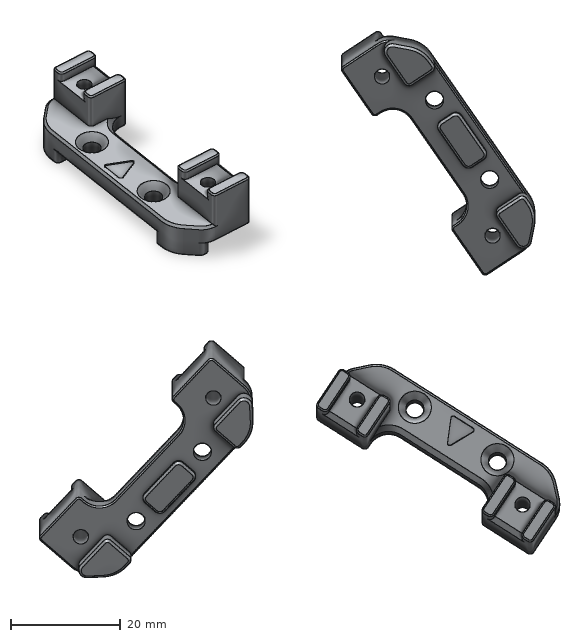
import cadquery as cq

LENGTH = 47.2
DEPTH = 15.0
HEIGHT = 14.0
HALF_LENGTH = LENGTH / 2

PLATE_BOTTOM = 3.1
PLATE_TOP = 7.0
PLATE_MIDDLE = (PLATE_BOTTOM + PLATE_TOP) / 2
BRIDGE_DEPTH = 9.55
CORNER_CUT = 5.0
CORNER_SIDE_RADIUS = 4.0
CORNER_FRONT_RADIUS = 6.0
BRIDGE_CORNER_RADIUS = 4.0
FRONT_CHAMFER = 0.45
BACK_CHAMFER = 1.0
BOTTOM_CHAMFER = 0.3

TOWER_WIDTH = 11.1
TOWER_DEPTH = 8.6
TOWER_X = HALF_LENGTH - TOWER_WIDTH / 2
TOWER_Y = DEPTH - TOWER_DEPTH / 2
TOWER_INNER_X = HALF_LENGTH - TOWER_WIDTH
TOWER_CORNER_RADIUS = 0.75
RAIL_WIDTH = 2.45
RAIL_OFFSET = (TOWER_WIDTH - RAIL_WIDTH) / 2
RAIL_HEIGHT = 2.0
RAIL_CORNER_RADIUS = 0.9
RAIL_TOP_CHAMFER = 0.3
FLOOR_Z = HEIGHT - RAIL_HEIGHT
TOWER_HOLE_DIAMETER = 2.8
TOWER_HOLE_Y = 9.45

FOOT_INNER_X = 14.2
FOOT_DEPTH = 6.4
FOOT_INNER_RADIUS = 1.0
FOOT_OUTER_RADIUS = 1.5
FOOT_CHAMFER = 0.45

SCREW_X = 9.0
SCREW_Y = 3.95
SCREW_DIAMETER = 3.3
COUNTERSINK_DIAMETER = 6.05
COUNTERSINK_ANGLE = 90

PAD_LENGTH = 10.4
PAD_DEPTH = 5.0
PAD_HEIGHT = 1.0
PAD_CORNER_RADIUS = 1.27
PAD_CHAMFER = 0.45

ARROW_BASE_Y = 1.4
ARROW_TIP_Y = 7.1
ARROW_BASE_WIDTH = 5.4
ARROW_CORNER_RADIUS = 0.42
ARROW_DEPTH = 0.3

SIDES = (-1, 1)


def round_upright_edge(body, x, y, radius):
    """Fillet the vertical edge of a body that stands at (x, y)."""
    reach = 0.05
    corner = cq.selectors.BoxSelector((x - reach, y - reach, 0), (x + reach, y + reach, HEIGHT))
    return body.edges("|Z").edges(corner).fillet(radius)


def mirrored_pair(body):
    """A body and its mirror image across the middle plane X = 0."""
    return body.union(body.mirror("YZ"))


def plate():
    """U-shaped plate, chamfered all around its top and bottom."""
    rounded_corners = [
        (HALF_LENGTH - CORNER_CUT, 0, CORNER_FRONT_RADIUS),
        (HALF_LENGTH, CORNER_CUT, CORNER_SIDE_RADIUS),
        (HALF_LENGTH, DEPTH, TOWER_CORNER_RADIUS),
        (TOWER_INNER_X, DEPTH, TOWER_CORNER_RADIUS),
        (TOWER_INNER_X, BRIDGE_DEPTH, BRIDGE_CORNER_RADIUS),
    ]
    right_half = [(x, y) for x, y, _ in rounded_corners]
    left_half = [(-x, y) for x, y in reversed(right_half)]
    body = (
        cq.Workplane("XY", origin=(0, 0, PLATE_BOTTOM))
        .polyline(right_half + left_half)
        .close()
        .extrude(PLATE_TOP - PLATE_BOTTOM)
    )
    for x, y, radius in rounded_corners:
        body = round_upright_edge(body, x, y, radius)
        body = round_upright_edge(body, -x, y, radius)
    body = body.faces(">Z").edges().chamfer(FRONT_CHAMFER)
    return body.faces("<Z").edges().chamfer(BOTTOM_CHAMFER)


def back_slope():
    """Flared gap between the towers that widens the top chamfer along the back of the plate."""
    gap_depth = 2 * (DEPTH - BRIDGE_DEPTH)
    return (
        cq.Workplane("XY", origin=(0, DEPTH, PLATE_TOP - BACK_CHAMFER))
        .sketch()
        .rect(2 * TOWER_INNER_X, gap_depth)
        .vertices()
        .fillet(BRIDGE_CORNER_RADIUS)
        .finalize()
        .extrude(BACK_CHAMFER, taper=-45)
    )


def rail(outer_side):
    """Rail on the inner (-1) or outer (1) side of the right tower, rounded at its ends."""
    base_z = FLOOR_Z - BACK_CHAMFER
    tower_side, slot_side = (">X", "<X") if outer_side > 0 else ("<X", ">X")
    return (
        cq.Workplane("XY", origin=(TOWER_X + outer_side * RAIL_OFFSET, TOWER_Y, base_z))
        .rect(RAIL_WIDTH, TOWER_DEPTH)
        .extrude(HEIGHT - base_z)
        .faces(tower_side)
        .edges("|Z")
        .fillet(TOWER_CORNER_RADIUS)
        .faces(slot_side)
        .edges("|Z")
        .fillet(RAIL_CORNER_RADIUS)
        .faces(">Z")
        .edges()
        .chamfer(RAIL_TOP_CHAMFER)
    )


def right_tower():
    """Tower block with a sloped back edge and a rail along each side."""
    block = (
        cq.Workplane("XY", origin=(TOWER_X, TOWER_Y, PLATE_MIDDLE))
        .rect(TOWER_WIDTH, TOWER_DEPTH)
        .extrude(FLOOR_Z - PLATE_MIDDLE)
        .edges("|Z")
        .fillet(TOWER_CORNER_RADIUS)
    )
    slope = (
        cq.Workplane("YZ", origin=(TOWER_X, 0, 0))
        .polyline([(DEPTH, FLOOR_Z), (DEPTH - BACK_CHAMFER, FLOOR_Z), (DEPTH, FLOOR_Z - BACK_CHAMFER)])
        .close()
        .extrude(RAIL_OFFSET, both=True)
    )
    body = block.cut(slope)
    for outer_side in SIDES:
        body = body.union(rail(outer_side))
    return body


def right_foot():
    """Foot whose front and cut corner are flush with the plate outline."""
    cut_x = HALF_LENGTH - CORNER_CUT
    tip_x = cut_x + FOOT_DEPTH
    rounded_corners = [
        (FOOT_INNER_X, 0, FOOT_INNER_RADIUS),
        (cut_x, 0, CORNER_FRONT_RADIUS),
        (tip_x, FOOT_DEPTH, FOOT_OUTER_RADIUS),
        (FOOT_INNER_X, FOOT_DEPTH, FOOT_INNER_RADIUS),
    ]
    outline = [(x, y) for x, y, _ in rounded_corners]
    body = cq.Workplane("XY").polyline(outline).close().extrude(PLATE_BOTTOM + BOTTOM_CHAMFER)
    for x, y, radius in rounded_corners:
        body = round_upright_edge(body, x, y, radius)
    return body.faces("<Z").edges().chamfer(FOOT_CHAMFER)


def pad():
    """Rounded pad under the middle of the plate."""
    return (
        cq.Workplane("XY", origin=(0, SCREW_Y, PLATE_BOTTOM - PAD_HEIGHT))
        .rect(PAD_LENGTH, PAD_DEPTH)
        .extrude(PLATE_MIDDLE - PLATE_BOTTOM + PAD_HEIGHT)
        .edges("|Z")
        .fillet(PAD_CORNER_RADIUS)
        .faces("<Z")
        .edges()
        .chamfer(PAD_CHAMFER)
    )


def arrow():
    """Triangular recess with its tip toward the back."""
    return (
        cq.Workplane("XY", origin=(0, 0, PLATE_TOP - ARROW_DEPTH))
        .polyline([
            (-ARROW_BASE_WIDTH / 2, ARROW_BASE_Y),
            (ARROW_BASE_WIDTH / 2, ARROW_BASE_Y),
            (0, ARROW_TIP_Y),
        ])
        .close()
        .extrude(ARROW_DEPTH)
        .edges("|Z")
        .fillet(ARROW_CORNER_RADIUS)
    )


result = (
    plate()
    .cut(back_slope())
    .union(mirrored_pair(right_tower()))
    .union(mirrored_pair(right_foot()))
    .union(pad())
    .cut(arrow())
)

result = (
    result.copyWorkplane(cq.Workplane("XY", origin=(0, 0, PLATE_TOP)))
    .pushPoints([(side * SCREW_X, SCREW_Y) for side in SIDES])
    .cskHole(SCREW_DIAMETER, COUNTERSINK_DIAMETER, COUNTERSINK_ANGLE)
)

result = (
    result.copyWorkplane(cq.Workplane("XY", origin=(0, 0, HEIGHT)))
    .pushPoints([(side * TOWER_X, TOWER_HOLE_Y) for side in SIDES])
    .hole(TOWER_HOLE_DIAMETER)
)